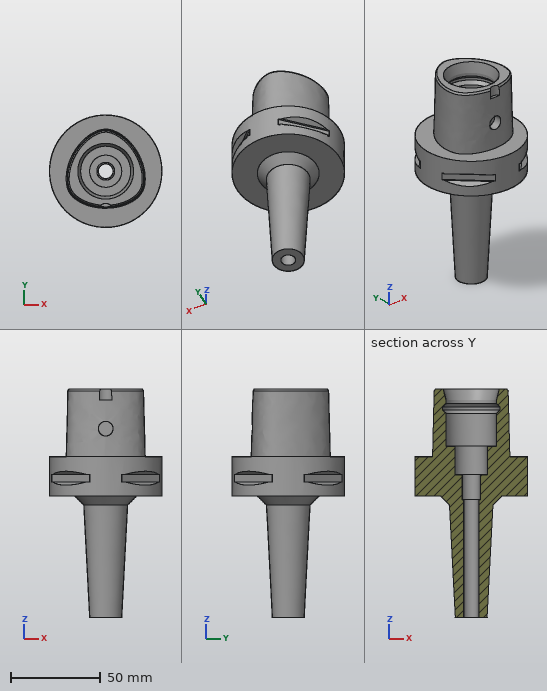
import cadquery as cq
import math

shank_length = 38.0
collar_height = 22.0
neck_height = 5.0
nose_length = 63.0
shank_base_z = collar_height
shank_top_z = shank_base_z + shank_length
neck_end_z = -neck_height
nose_tip_z = neck_end_z - nose_length

collar_radius = 63.0 / 2
nose_tip_radius = 18.0 / 2
nose_half_angle = 3.0
nose_root_radius = nose_tip_radius + nose_length * math.tan(math.radians(nose_half_angle))
neck_top_radius = nose_root_radius + neck_height

shank_mean_radius = 44.3 / 2
lobe_height = 1.4
shank_taper = 1.0 / 40
edge_chamfer_height = 1.2
edge_chamfer_inset = 0.8
profile_point_count = 48

mouth_radius = 31.2 / 2
seat_radius = 28.0 / 2
lip_start_depth = 6.4
lip_end_depth = 8.2
groove_radius = 32.0 / 2
groove_flank = groove_radius - seat_radius
seat_start_depth = 13.8
seat_end_depth = 32.0
cavity_radius = 18.0 / 2
cavity_end_depth = 48.0
coolant_entry_radius = 10.0 / 2
coolant_entry_end_depth = 62.0
through_radius = 8.2 / 2

notch_radius = 4.2
notch_axis_y = -22.2
notch_depth = 6.2
index_hole_radius = 8.2 / 2
index_hole_depth = 22.3
index_hole_floor_y = -15.0

pocket_count = 4
pocket_first_angle = 45.0
pocket_mid_z = collar_height - 12.0
pocket_length = 30.0
pocket_floor_distance = 27.5
pocket_flank_distance = 28.5
pocket_floor_height = 4.1
pocket_mouth_height = 7.8


def lobed_point(mean_radius, angle):
    """Point where the lobed profile's outward normal points along the angle."""
    reach = mean_radius - lobe_height * math.sin(3 * angle)
    slope = -3 * lobe_height * math.cos(3 * angle)
    x = reach * math.cos(angle) - slope * math.sin(angle)
    y = reach * math.sin(angle) + slope * math.cos(angle)
    return (x, y)


def lobed_wire(mean_radius, z):
    """Closed smooth three-lobed outline at height z, with its seam on the -Y side."""
    points = []
    for i in range(profile_point_count):
        angle = -math.pi / 2 + 2 * math.pi * i / profile_point_count
        x, y = lobed_point(mean_radius, angle)
        points.append(cq.Vector(x, y, z))
    return cq.Wire.assembleEdges([cq.Edge.makeSpline(points, periodic=True)])


def make_shank():
    """Tapered lobed shank with a bevelled top edge."""
    bevel_z = shank_top_z - edge_chamfer_height
    bevel_radius = shank_mean_radius - shank_taper * (bevel_z - shank_base_z)
    base = lobed_wire(shank_mean_radius, shank_base_z)
    bevel = lobed_wire(bevel_radius, bevel_z)
    top = lobed_wire(bevel_radius - edge_chamfer_inset, shank_top_z)
    taper = cq.Solid.makeLoft([base, bevel], True)
    cap = cq.Solid.makeLoft([bevel, top], True)
    return cq.Workplane(obj=taper).union(cq.Workplane(obj=cap))


def make_body():
    """Collar, conical neck and tapered nose, turned about Z."""
    outline = [
        (0, shank_base_z),
        (collar_radius, shank_base_z),
        (collar_radius, 0),
        (neck_top_radius, 0),
        (nose_root_radius, neck_end_z),
        (nose_tip_radius, nose_tip_z),
        (0, nose_tip_z),
    ]
    return cq.Workplane("XZ").polyline(outline).close().revolve(360, (0, 0), (0, 1))


def make_bore():
    """Through bore with a conical mouth, a groove below its lip and smaller steps."""
    radius_and_depth = [
        (0, 0),
        (mouth_radius, 0),
        (seat_radius, lip_start_depth),
        (seat_radius, lip_end_depth),
        (groove_radius, lip_end_depth + groove_flank),
        (groove_radius, seat_start_depth - groove_flank),
        (seat_radius, seat_start_depth),
        (seat_radius, seat_end_depth),
        (cavity_radius, seat_end_depth),
        (cavity_radius, cavity_end_depth),
        (coolant_entry_radius, cavity_end_depth),
        (coolant_entry_radius, coolant_entry_end_depth),
        (through_radius, coolant_entry_end_depth),
        (through_radius, shank_top_z - nose_tip_z),
        (0, shank_top_z - nose_tip_z),
    ]
    outline = [(radius, shank_top_z - depth) for radius, depth in radius_and_depth]
    return cq.Workplane("XZ").polyline(outline).close().revolve(360, (0, 0), (0, 1))


def make_notch():
    """Upright round-backed key notch in the shank's top edge."""
    floor = cq.Workplane("XY", origin=(0, notch_axis_y, shank_top_z - notch_depth))
    return floor.circle(notch_radius).extrude(notch_depth)


def make_index_hole():
    """Flat-bottomed radial hole in the side of the shank."""
    floor = cq.Workplane("XZ", origin=(0, index_hole_floor_y, shank_top_z - index_hole_depth))
    return floor.circle(index_hole_radius).extrude(collar_radius + index_hole_floor_y)


def make_pocket(angle):
    """Gripper pocket with a flat upright floor, short level sides and sloping flanks."""
    half_floor = pocket_floor_height / 2
    half_mouth = pocket_mouth_height / 2
    section = [
        (pocket_floor_distance, pocket_mid_z - half_floor),
        (pocket_flank_distance, pocket_mid_z - half_floor),
        (collar_radius, pocket_mid_z - half_mouth),
        (collar_radius, pocket_mid_z + half_mouth),
        (pocket_flank_distance, pocket_mid_z + half_floor),
        (pocket_floor_distance, pocket_mid_z + half_floor),
    ]
    pocket = cq.Workplane("XZ").polyline(section).close().extrude(pocket_length / 2, both=True)
    return pocket.rotate((0, 0, 0), (0, 0, 1), angle)


result = make_body().union(make_shank())
result = result.cut(make_bore()).cut(make_notch()).cut(make_index_hole())
for index in range(pocket_count):
    result = result.cut(make_pocket(pocket_first_angle + index * 360 / pocket_count))